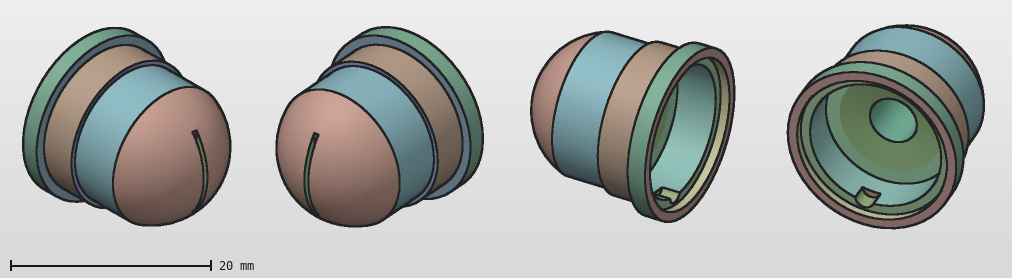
import cadquery as cq
import math

total_length = 17.0
flange_end = 2.0
shoulder_end = 6.0
body_end = 11.5

flange_radius = 9.0
shoulder_radius = 8.0
body_radius = 7.5

recess_radius = shoulder_radius
recess_depth = 1.0
bore_radius = 7.0
bore_end = 5.4
cone_mouth_radius = 5.5
hole_radius = 2.5
cone_end = 5.9
tip_wall = 1.0

groove_radius = 1.0
groove_offset = 6.7
groove_angle = 10.0
groove_length = 2.0

slot_width = 0.5
slot_depth = 1.6

dome_height = total_length - body_end
dome_radius = (body_radius**2 + dome_height**2) / (2 * dome_height)
dome_center = total_length - dome_radius


def point_on_sphere(sphere_radius, distance_from_axis):
    """Return the (x, radius) profile point on a sphere concentric with the dome."""
    return (dome_center + math.sqrt(sphere_radius**2 - distance_from_axis**2), distance_from_axis)


def make_shell():
    """Revolve the stepped and domed outside around X."""
    return (
        cq.Workplane("XY")
        .lineTo(0, flange_radius)
        .lineTo(flange_end, flange_radius)
        .lineTo(flange_end, shoulder_radius)
        .lineTo(shoulder_end, shoulder_radius)
        .lineTo(shoulder_end, body_radius)
        .lineTo(body_end, body_radius)
        .threePointArc(point_on_sphere(dome_radius, body_radius / 2), (total_length, 0))
        .close()
        .revolve(360, (0, 0, 0), (1, 0, 0))
    )


def make_cavity():
    """Revolve the recess, bore, cone and round-ended hole around X."""
    inner_radius = dome_radius - tip_wall
    return (
        cq.Workplane("XY")
        .lineTo(0, recess_radius)
        .lineTo(recess_depth, recess_radius)
        .lineTo(recess_depth, bore_radius)
        .lineTo(bore_end, bore_radius)
        .lineTo(bore_end, cone_mouth_radius)
        .lineTo(cone_end, hole_radius)
        .lineTo(*point_on_sphere(inner_radius, hole_radius))
        .threePointArc(point_on_sphere(inner_radius, hole_radius / 2), (total_length - tip_wall, 0))
        .close()
        .revolve(360, (0, 0, 0), (1, 0, 0))
    )


def make_groove():
    """Make the round key groove that starts at the recess floor."""
    angle = math.radians(groove_angle)
    return (
        cq.Workplane("YZ", origin=(recess_depth, 0, 0))
        .center(groove_offset * math.sin(angle), -groove_offset * math.cos(angle))
        .circle(groove_radius)
        .extrude(groove_length)
    )


def make_slot():
    """Make the slot that runs along Z across the tip."""
    return cq.Workplane("XY").box(slot_depth, slot_width, 2 * body_radius).translate(
        (total_length - slot_depth / 2, 0, 0)
    )


result = make_shell().cut(make_cavity()).cut(make_groove()).cut(make_slot())